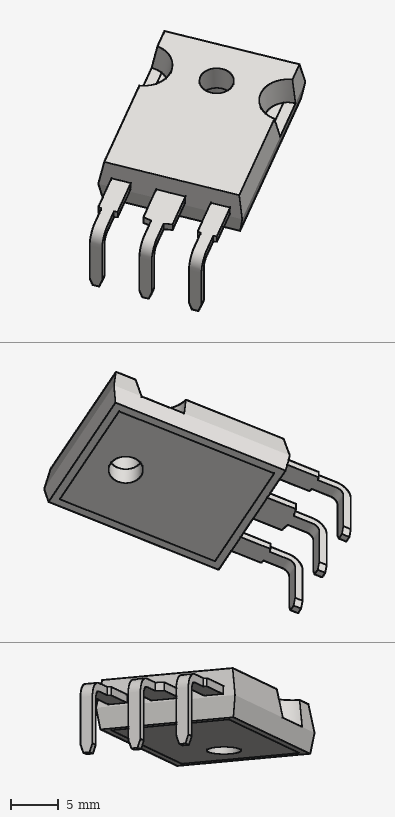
import cadquery as cq


overall_length = 28.8

housing_width = 15.85
housing_length = 20.7
housing_height = 5.3
parting_height = 2.27
top_inset = 0.5
bottom_inset = 0.35

hole_diameter = 3.6
hole_setback = 5.5
notch_setback = 5.75
notch_top_radius = 3.0
notch_floor_radius = notch_top_radius - top_inset

plate_width = 13.42
plate_margin = (housing_width - plate_width) / 2
plate_length = housing_length - 2 * plate_margin

lead_pitch = 5.47
lead_thickness = 0.9
lead_top = 3.4
lead_width = 1.38
outer_shoulder_width = 2.13
centre_shoulder_width = 3.22
lead_reach = overall_length - housing_length
lead_drop = 4.3
lead_embed = 2.02
shoulder_length = 4.2
shoulder_slope = 0.23
bend_radius = 1.7
tip_length = 0.92
tip_width = 0.72

front_y = -housing_length / 2
back_y = housing_length / 2
hole_y = back_y - hole_setback
lead_end_y = front_y - lead_reach
lead_root_y = front_y + lead_embed

lead_shoulders = [
    (-lead_pitch, outer_shoulder_width),
    (0, centre_shoulder_width),
    (lead_pitch, outer_shoulder_width),
]


def tapered_block(face_height, inset):
    """Frustum from the parting plane to a smaller face at the given height."""
    return (
        cq.Workplane("XY", origin=(0, 0, parting_height))
        .rect(housing_width, housing_length)
        .workplane(offset=face_height - parting_height)
        .rect(housing_width - 2 * inset, housing_length - 2 * inset)
        .loft(ruled=True)
    )


def mounting_hole():
    return cq.Workplane("XY").center(0, hole_y).circle(hole_diameter / 2).extrude(housing_height)


def side_notch(x):
    """Conical cutter centred on a long edge, with its floor on the parting plane."""
    return cq.Workplane(
        cq.Solid.makeCone(
            notch_floor_radius,
            notch_top_radius,
            housing_height - parting_height,
            pnt=cq.Vector(x, back_y - notch_setback, parting_height),
        )
    )


def make_plate():
    blank = cq.Workplane("XY").rect(plate_width, plate_length).extrude(parting_height)
    return blank.cut(mounting_hole()).solids()


def make_lead(x, shoulder_width):
    """Bent strip trimmed to its shouldered plan and then to its pointed tip."""
    lead_bottom = lead_top - lead_thickness
    inner_radius = bend_radius - lead_thickness
    bend_y = lead_end_y + bend_radius
    bend_z = lead_top - bend_radius
    inner_y = lead_end_y + lead_thickness
    half_shoulder = shoulder_width / 2
    half_lead = lead_width / 2
    half_tip = tip_width / 2
    neck_y = front_y - shoulder_length
    shoulder_y = neck_y + shoulder_slope * (half_shoulder - half_lead)

    strip = (
        cq.Workplane("YZ", origin=(x - half_shoulder, 0, 0))
        .moveTo(lead_root_y, lead_top)
        .lineTo(bend_y, lead_top)
        .radiusArc((lead_end_y, bend_z), -bend_radius)
        .lineTo(lead_end_y, -lead_drop)
        .lineTo(inner_y, -lead_drop)
        .lineTo(inner_y, bend_z)
        .radiusArc((bend_y, lead_bottom), inner_radius)
        .lineTo(lead_root_y, lead_bottom)
        .close()
        .extrude(shoulder_width)
    )
    plan = (
        cq.Workplane("XY", origin=(x, 0, -lead_drop))
        .moveTo(-half_shoulder, lead_root_y)
        .lineTo(-half_shoulder, shoulder_y)
        .lineTo(-half_lead, neck_y)
        .lineTo(-half_lead, lead_end_y)
        .lineTo(half_lead, lead_end_y)
        .lineTo(half_lead, neck_y)
        .lineTo(half_shoulder, shoulder_y)
        .lineTo(half_shoulder, lead_root_y)
        .close()
        .extrude(lead_drop + lead_top)
    )
    elevation = (
        cq.Workplane("XZ", origin=(x, lead_root_y, 0))
        .moveTo(-half_shoulder, lead_top)
        .lineTo(-half_shoulder, lead_bottom)
        .lineTo(-half_lead, lead_bottom)
        .lineTo(-half_lead, tip_length - lead_drop)
        .lineTo(-half_tip, -lead_drop)
        .lineTo(half_tip, -lead_drop)
        .lineTo(half_lead, tip_length - lead_drop)
        .lineTo(half_lead, lead_bottom)
        .lineTo(half_shoulder, lead_bottom)
        .lineTo(half_shoulder, lead_top)
        .close()
        .extrude(lead_root_y - lead_end_y)
    )
    return strip.intersect(plan).intersect(elevation).solids()


def make_housing(inserts):
    """Moulding with matching recesses for the plate and the leads."""
    body = tapered_block(housing_height, top_inset).union(tapered_block(0, bottom_inset))
    body = body.cut(mounting_hole())
    for side in (-1, 1):
        body = body.cut(side_notch(side * housing_width / 2))
    for insert in inserts:
        body = body.cut(insert)
    return body.solids()


plate = make_plate()
leads = [make_lead(x, shoulder_width) for x, shoulder_width in lead_shoulders]
housing = make_housing([plate, *leads])

result = cq.Compound.makeCompound([housing.val(), plate.val(), *[lead.val() for lead in leads]])